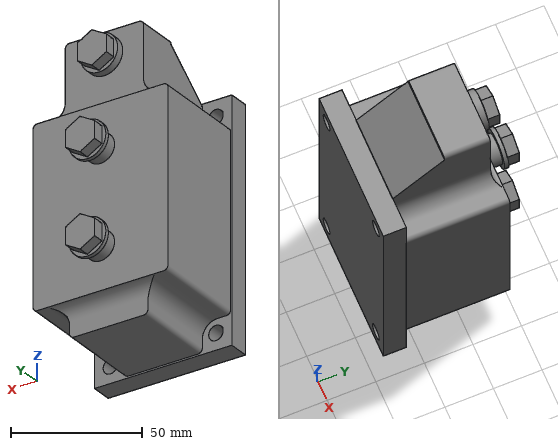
import cadquery as cq
import math

total_height = 126.1

plate_width = 62.5
plate_height = 108.0
plate_thickness = 9.5
hole_diameter = 6.5
hole_spacing_x = 48.0
hole_spacing_z = 93.0

block_width = 61.5
block_bottom = 13.5
block_top = 94.1
block_back = 52.5
neck_width = 35.7
neck_back = 49.8
foot_bottom = 0.8
foot_back = 46.8
inner_radius = 6.9
outer_radius = 2.0

slope_top_y = 30.9
slope_top_z = total_height - outer_radius
slope_bottom_z = 106.9

bolt_heights = (32.8, 74.8)
neck_bolt_height = 115.8
hex_across_flats = 13.2
hex_thickness = 5.0
washer_diameter = 16.8
washer_thickness = 1.8
stud_diameter = 12.9
stud_length = 7.2
neck_washer_thickness = 3.5


def box_between(x_size, y_range, z_range):
    """Box centred on X = 0 that spans the given Y and Z ranges."""
    y_size = y_range[1] - y_range[0]
    z_size = z_range[1] - z_range[0]
    return (
        cq.Workplane("XY")
        .box(x_size, y_size, z_size, centered=(True, False, False))
        .translate((0, y_range[0], z_range[0]))
    )


def make_plate():
    hole_points = [
        (x_side * hole_spacing_x / 2, plate_height / 2 + z_side * hole_spacing_z / 2)
        for x_side in (-1, 1)
        for z_side in (-1, 1)
    ]
    holes = (
        cq.Workplane("XZ")
        .pushPoints(hole_points)
        .circle(hole_diameter / 2)
        .extrude(-plate_thickness)
    )
    return box_between(plate_width, (0, plate_thickness), (0, plate_height)).cut(holes)


def make_housing():
    """Cross-shaped prism along Y with rounded inner and outer corners."""
    depth = (plate_thickness, block_back)
    block = box_between(block_width, depth, (block_bottom, block_top))
    column = box_between(neck_width, depth, (foot_bottom, total_height))
    housing = block.union(column)

    selection_margin = 0.1
    inner_corners = cq.selectors.BoxSelector(
        (-neck_width / 2 - selection_margin, 0, block_bottom - selection_margin),
        (neck_width / 2 + selection_margin, block_back, block_top + selection_margin),
    )
    housing = housing.edges("|Y").edges(inner_corners).fillet(inner_radius)
    return housing.edges("|Y").edges("<X or >X or <Z or >Z").fillet(outer_radius)


def step_cutter(step_y, block_edge_z, end_z):
    """Sets a neck or foot back from the block, with a hollow quarter round at the step."""
    radius = block_back - step_y
    direction = math.copysign(1, end_z - block_edge_z)
    arc_center_z = block_edge_z + direction * radius
    arc_offset = radius * math.sqrt(0.5)
    return (
        cq.Workplane("YZ")
        .moveTo(block_back, block_edge_z)
        .threePointArc(
            (block_back - arc_offset, arc_center_z - direction * arc_offset),
            (step_y, arc_center_z),
        )
        .lineTo(step_y, end_z)
        .lineTo(block_back, end_z)
        .close()
        .extrude(block_width / 2, both=True)
    )


def slope_cutter():
    return (
        cq.Workplane("YZ")
        .moveTo(plate_thickness, slope_bottom_z)
        .lineTo(slope_top_y, slope_top_z)
        .lineTo(slope_top_y, total_height)
        .lineTo(plate_thickness, total_height)
        .close()
        .extrude(block_width / 2, both=True)
    )


def cylinder_along_y(diameter, start_y, length, z):
    return (
        cq.Workplane("XZ", origin=(0, start_y, z))
        .circle(diameter / 2)
        .extrude(-length)
    )


def make_hex_head(start_y, z):
    """Hexagonal head with two corners pointing up and down."""
    across_corners = hex_across_flats / math.cos(math.pi / 6)
    return (
        cq.Workplane("XZ", origin=(0, start_y, z))
        .transformed(rotate=(0, 0, 90))
        .polygon(6, across_corners)
        .extrude(-hex_thickness)
    )


def make_block_bolt(z):
    washer_y = block_back + stud_length
    stud = cylinder_along_y(stud_diameter, block_back, stud_length, z)
    washer = cylinder_along_y(washer_diameter, washer_y, washer_thickness, z)
    return stud.union(washer).union(make_hex_head(washer_y + washer_thickness, z))


def make_neck_bolt(z):
    washer = cylinder_along_y(washer_diameter, neck_back, neck_washer_thickness, z)
    return washer.union(make_hex_head(neck_back + neck_washer_thickness, z))


housing = (
    make_housing()
    .cut(step_cutter(neck_back, block_top, total_height))
    .cut(step_cutter(foot_back, block_bottom, foot_bottom))
    .cut(slope_cutter())
)

result = make_plate().union(housing)
for bolt_height in bolt_heights:
    result = result.union(make_block_bolt(bolt_height))
result = result.union(make_neck_bolt(neck_bolt_height))